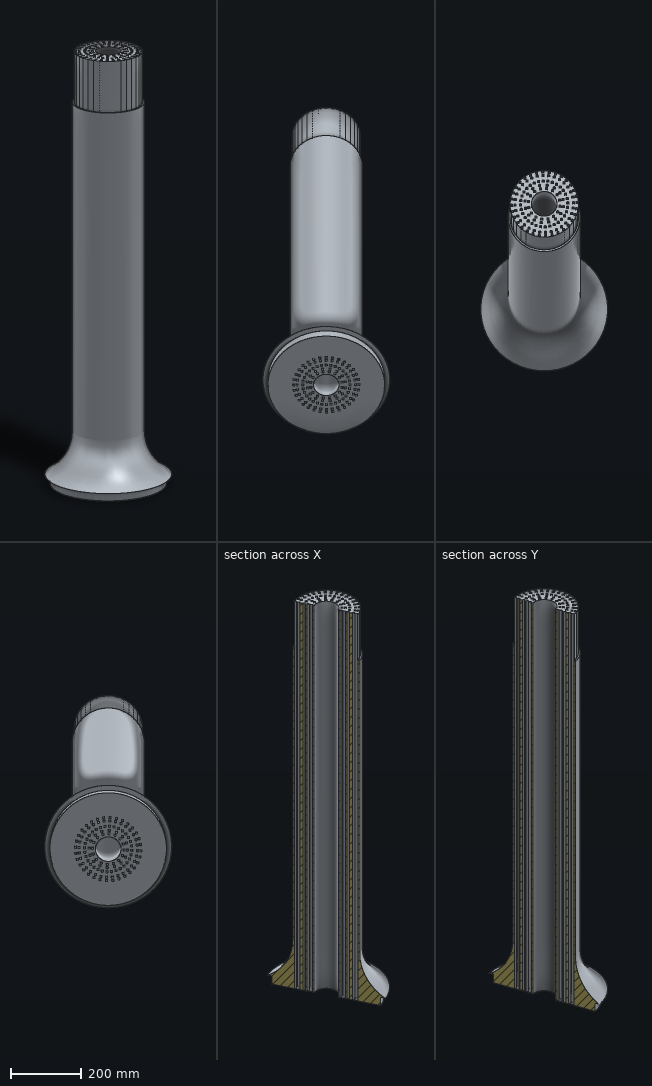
import cadquery as cq
import math

TOTAL_HEIGHT = 1295.0
BASE_HEIGHT = 27.0
FLARE_TOP = 159.0
SPIGOT_LENGTH = 153.0

BASE_DIAMETER = 333.0
FLANGE_DIAMETER = 363.0
TUBE_DIAMETER = 206.0
SPIGOT_DIAMETER = 195.0

BORE_DIAMETER = 73.0
HOLE_DIAMETER = 6.3
RING_SPACING = 9.7
OUTER_HOLE_COUNT = 32
INNER_HOLE_COUNT = 16
OUTERMOST_RING_RADIUS = 93.0
MIDDLE_RING_RADIUS = 67.0
INNERMOST_RING_RADIUS = 45.0

HOLE_RINGS = [
    (OUTERMOST_RING_RADIUS, OUTER_HOLE_COUNT),
    (OUTERMOST_RING_RADIUS - RING_SPACING, OUTER_HOLE_COUNT),
    (MIDDLE_RING_RADIUS, OUTER_HOLE_COUNT),
    (INNERMOST_RING_RADIUS + RING_SPACING, INNER_HOLE_COUNT),
    (INNERMOST_RING_RADIUS, INNER_HOLE_COUNT),
]


def flare_midpoint():
    """Middle of the flare arc, which leaves the tube wall tangentially."""
    run = (FLANGE_DIAMETER - TUBE_DIAMETER) / 2
    drop = FLARE_TOP - BASE_HEIGHT
    sweep = 2 * math.atan2(run, drop)
    arc_radius = drop / math.sin(sweep)
    x = TUBE_DIAMETER / 2 + arc_radius * (1 - math.cos(sweep / 2))
    z = FLARE_TOP - arc_radius * math.sin(sweep / 2)
    return x, z


def column_body():
    """Turned body: base, flared foot, tube, spigot and central bore."""
    shoulder = TOTAL_HEIGHT - SPIGOT_LENGTH
    return (
        cq.Workplane("XZ")
        .moveTo(BORE_DIAMETER / 2, 0)
        .lineTo(BASE_DIAMETER / 2, 0)
        .lineTo(BASE_DIAMETER / 2, BASE_HEIGHT)
        .lineTo(FLANGE_DIAMETER / 2, BASE_HEIGHT)
        .threePointArc(flare_midpoint(), (TUBE_DIAMETER / 2, FLARE_TOP))
        .lineTo(TUBE_DIAMETER / 2, shoulder)
        .lineTo(SPIGOT_DIAMETER / 2, shoulder)
        .lineTo(SPIGOT_DIAMETER / 2, TOTAL_HEIGHT)
        .lineTo(BORE_DIAMETER / 2, TOTAL_HEIGHT)
        .close()
        .revolve(360, (0, 0, 0), (0, 1, 0))
    )


def hole_ring(ring_radius, hole_count):
    """Full-height pins, evenly spaced on a circle, that cut one ring of holes."""
    return (
        cq.Workplane("XY")
        .polarArray(ring_radius, 0, 360, hole_count)
        .circle(HOLE_DIAMETER / 2)
        .extrude(TOTAL_HEIGHT)
    )


result = column_body()
for radius, count in HOLE_RINGS:
    result = result.cut(hole_ring(radius, count))